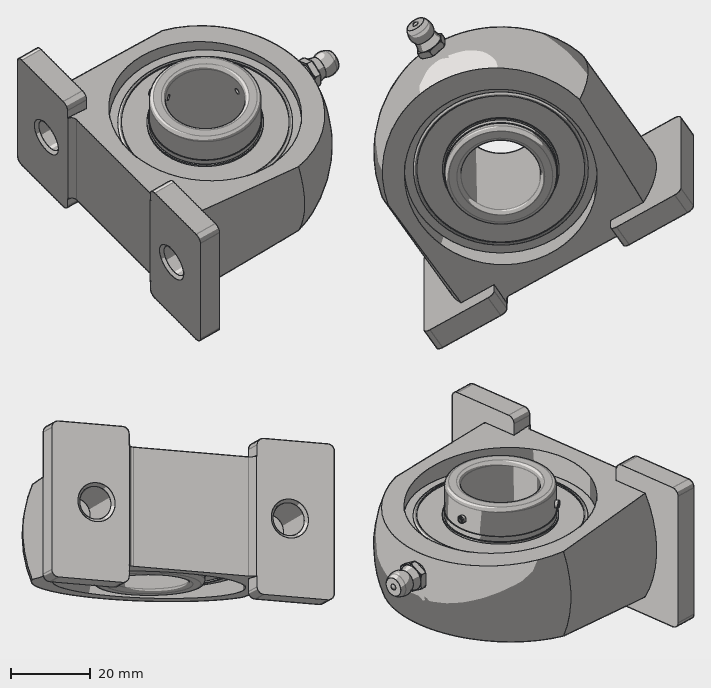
import cadquery as cq
import math

centre_height = 30.2
base_y = -centre_height
crown_radius = 31.8
flank_radius = 30.8
half_depth_at_axis = 12.85
taper_angle = 4.85

overall_length = 76.0
foot_gap = 34.4
foot_height = 6.0
foot_depth = 40.0
foot_corner_radius = 1.8
relief_length = 34.0
relief_depth = 1.5

bolt_spacing = 52.0
tap_drill_diameter = 8.38
tap_mouth_diameter = 10.0
tap_depth = 15.0
drill_point_angle = 118.0

seat_diameter = 47.0
counterbore_diameter = 48.27
seat_half_width = 8.5

bore_diameter = 20.0
inner_ring_diameter = 28.0
inner_ring_top = 18.3
inner_ring_bottom = -12.7
inner_ring_rounding = 1.0
collar_diameter = 28.4
collar_half_width = 10.4
outer_ring_half_width = 8.9
outer_ring_rounding = 0.6
shield_diameter = 42.0
shield_half_width = 8.5
lip_diameter = 29.2
lip_half_width = 9.0

screw_z = 13.5
screw_diameter = 2.0
screw_tip_radius = 15.05
screw_end_radius = 11.0
screw_tip_diameter = 1.57
screw_recess_diameter = 1.57
screw_socket_diameter = 1.0
screw_socket_depth = 0.6
screw_angles = (90.0, 210.0)

nipple_z = 4.8
nipple_tip_y = 40.6
nipple_face_y = 40.1
nipple_shoulder_y = 38.9
nipple_ball_y = 37.6
nipple_neck_y = 35.8
hex_top_y = 33.6
hex_bottom_y = crown_radius
stem_end_y = 27.0
nipple_tip_diameter = 1.57
nipple_face_diameter = 4.92
nipple_ball_diameter = 6.7
shoulder_bulge = 0.1
nipple_cone_diameter = 6.7
hex_across_flats = 7.0
hex_corner_chamfer = 0.25
stem_diameter = 6.0

margin = 10.0


def cylinder_z(diameter, z_low, z_high):
    return cq.Workplane("XY").workplane(offset=z_low).circle(diameter / 2).extrude(z_high - z_low)


def cylinder_y(diameter, y_low, y_high, z):
    plane = cq.Plane(origin=(0, y_low, z), xDir=(1, 0, 0), normal=(0, 1, 0))
    return cq.Workplane(plane).circle(diameter / 2).extrude(y_high - y_low)


def housing_body():
    """Rounded flanks and crown, turned about Y and trimmed by two tapered faces."""
    tangent_y = math.sqrt(crown_radius**2 - flank_radius**2)
    mid_angle = math.radians(45) + math.atan2(tangent_y, flank_radius) / 2
    crown_middle = (crown_radius * math.cos(mid_angle), crown_radius * math.sin(mid_angle))
    turned = (
        cq.Workplane("XY")
        .moveTo(0, base_y)
        .lineTo(flank_radius, base_y)
        .lineTo(flank_radius, tangent_y)
        .threePointArc(crown_middle, (0, crown_radius))
        .close()
        .revolve(360, (0, 0, 0), (0, 1, 0))
    )
    slope = math.tan(math.radians(taper_angle))
    base_half_depth = half_depth_at_axis - slope * base_y
    crown_half_depth = half_depth_at_axis - slope * crown_radius
    wedge = (
        cq.Workplane("YZ")
        .polyline([
            (base_y, -base_half_depth),
            (crown_radius, -crown_half_depth),
            (crown_radius, crown_half_depth),
            (base_y, base_half_depth),
        ])
        .close()
        .extrude(flank_radius, both=True)
    )
    return turned.intersect(wedge)


def foot(side):
    length = (overall_length - foot_gap) / 2
    centre_x = side * (foot_gap + length) / 2
    return (
        cq.Workplane("XY")
        .box(length, foot_height, foot_depth)
        .edges("|Y")
        .fillet(foot_corner_radius)
        .translate((centre_x, base_y + foot_height / 2, 0))
    )


def underside_relief():
    """Shallow step between the feet with concave rounds at both ends."""
    return (
        cq.Workplane("XY")
        .box(relief_length, 2 * relief_depth, foot_depth)
        .translate((0, base_y, 0))
        .edges("|Z and >Y")
        .fillet(relief_depth)
    )


def tapped_hole(x):
    """Blind hole with a 45 degree mouth chamfer and a drill point."""
    drill_radius = tap_drill_diameter / 2
    mouth_radius = tap_mouth_diameter / 2
    point_length = drill_radius / math.tan(math.radians(drill_point_angle / 2))
    return (
        cq.Workplane("XY")
        .polyline([
            (0, 0),
            (mouth_radius, 0),
            (drill_radius, mouth_radius - drill_radius),
            (drill_radius, tap_depth),
            (0, tap_depth + point_length),
        ])
        .close()
        .revolve(360, (0, 0, 0), (0, 1, 0))
        .translate((x, base_y, 0))
    )


def bearing_seat():
    """Spherical seat opening into a counterbore on each large face."""
    outer_z = half_depth_at_axis + margin
    seat = cq.Workplane("XY").sphere(seat_diameter / 2)
    seat = seat.intersect(cylinder_z(counterbore_diameter, -seat_half_width, seat_half_width))
    upper = cylinder_z(counterbore_diameter, seat_half_width, outer_z)
    lower = cylinder_z(counterbore_diameter, -outer_z, -seat_half_width)
    return seat.union(upper).union(lower)


def build_housing():
    housing = housing_body()
    for side in (-1, 1):
        housing = housing.union(foot(side))
    housing = housing.cut(underside_relief())
    for side in (-1, 1):
        housing = housing.cut(tapped_hole(side * bolt_spacing / 2))
    housing = housing.cut(bearing_seat())
    return housing.cut(cylinder_y(stem_diameter, stem_end_y, nipple_tip_y, nipple_z))


def outer_ring():
    ring = cq.Workplane("XY").sphere(seat_diameter / 2)
    ring = ring.intersect(cylinder_z(seat_diameter, -outer_ring_half_width, outer_ring_half_width))
    ring = ring.faces("|Z").edges().fillet(outer_ring_rounding)
    return ring.cut(cylinder_z(shield_diameter, -outer_ring_half_width, outer_ring_half_width))


def shields():
    """Shield disc with a raised lip around the collar on both sides."""
    disc = cylinder_z(shield_diameter, -shield_half_width, shield_half_width)
    return disc.union(cylinder_z(lip_diameter, -lip_half_width, lip_half_width))


def radial_pin(diameter, r_low, r_high):
    """Cylinder along X at the height of the set screws."""
    plane = cq.Plane(origin=(r_low, 0, screw_z), xDir=(0, 0, 1), normal=(1, 0, 0))
    return cq.Workplane(plane).circle(diameter / 2).extrude(r_high - r_low)


def add_set_screw(insert, angle):
    """Set screw standing proud of the inner ring and ending short of the bore surface."""
    middle_radius = (bore_diameter + inner_ring_diameter) / 4
    socket_floor = screw_tip_radius - screw_socket_depth
    tip_chamfer = (screw_diameter - screw_tip_diameter) / 2
    screw = radial_pin(screw_diameter, middle_radius, screw_tip_radius)
    screw = screw.faces(">X").edges().chamfer(tip_chamfer)
    screw = screw.cut(radial_pin(screw_socket_diameter, socket_floor, screw_tip_radius))
    recess = radial_pin(screw_recess_diameter, 0, screw_end_radius)
    seat = radial_pin(screw_diameter, middle_radius, screw_tip_radius)
    axis = ((0, 0, 0), (0, 0, 1), angle)
    insert = insert.cut(seat.rotate(*axis)).union(screw.rotate(*axis))
    return insert.cut(recess.rotate(*axis))


def build_insert():
    inner_ring = cylinder_z(inner_ring_diameter, inner_ring_bottom, inner_ring_top)
    inner_ring = inner_ring.cut(cylinder_z(bore_diameter, inner_ring_bottom, inner_ring_top))
    inner_ring = inner_ring.faces("|Z").edges().fillet(inner_ring_rounding)
    collar = cylinder_z(collar_diameter, -collar_half_width, collar_half_width)
    insert = outer_ring().union(shields()).union(collar)
    insert = insert.cut(cylinder_z(bore_diameter, -collar_half_width, collar_half_width))
    insert = insert.union(inner_ring)
    for angle in screw_angles:
        insert = add_set_screw(insert, angle)
    return insert


def build_nipple():
    ball_radius = nipple_ball_diameter / 2

    def ball_point(y):
        return (math.sqrt(ball_radius**2 - (y - nipple_ball_y)**2), y)

    shoulder_start = ball_point(nipple_shoulder_y)
    shoulder_middle = (
        (shoulder_start[0] + nipple_face_diameter / 2) / 2 + shoulder_bulge,
        (nipple_shoulder_y + nipple_face_y) / 2 + shoulder_bulge / 2,
    )
    tip_radius = nipple_tip_diameter / 2
    tip_height = nipple_tip_y - nipple_face_y
    tip_sphere_radius = (tip_radius**2 + tip_height**2) / (2 * tip_height)
    tip_middle_x = tip_radius / 2
    tip_drop = tip_sphere_radius - math.sqrt(tip_sphere_radius**2 - tip_middle_x**2)
    head = (
        cq.Workplane("XY")
        .moveTo(0, hex_top_y)
        .lineTo(nipple_cone_diameter / 2, hex_top_y)
        .lineTo(*ball_point(nipple_neck_y))
        .threePointArc((ball_radius, nipple_ball_y), shoulder_start)
        .threePointArc(shoulder_middle, (nipple_face_diameter / 2, nipple_face_y))
        .lineTo(tip_radius, nipple_face_y)
        .threePointArc((tip_middle_x, nipple_tip_y - tip_drop), (0, nipple_tip_y))
        .close()
        .revolve(360, (0, 0, 0), (0, 1, 0))
        .translate((0, 0, nipple_z))
    )
    hex_plane = cq.Plane(origin=(0, hex_bottom_y, nipple_z), xDir=(0, 0, 1), normal=(0, 1, 0))
    hex_corner_diameter = hex_across_flats / math.cos(math.radians(30))
    hexagon = cq.Workplane(hex_plane).polygon(6, hex_corner_diameter).extrude(hex_top_y - hex_bottom_y)
    blank = cylinder_y(hex_corner_diameter, hex_bottom_y, hex_top_y, nipple_z)
    hexagon = hexagon.intersect(blank.faces("<Y or >Y").edges().chamfer(hex_corner_chamfer))
    stem = cylinder_y(stem_diameter, stem_end_y, hex_bottom_y, nipple_z)
    return head.union(hexagon).union(stem)


housing = build_housing()
insert = build_insert()
nipple = build_nipple()

result = cq.Compound.makeCompound([housing.val(), insert.val(), nipple.val()])